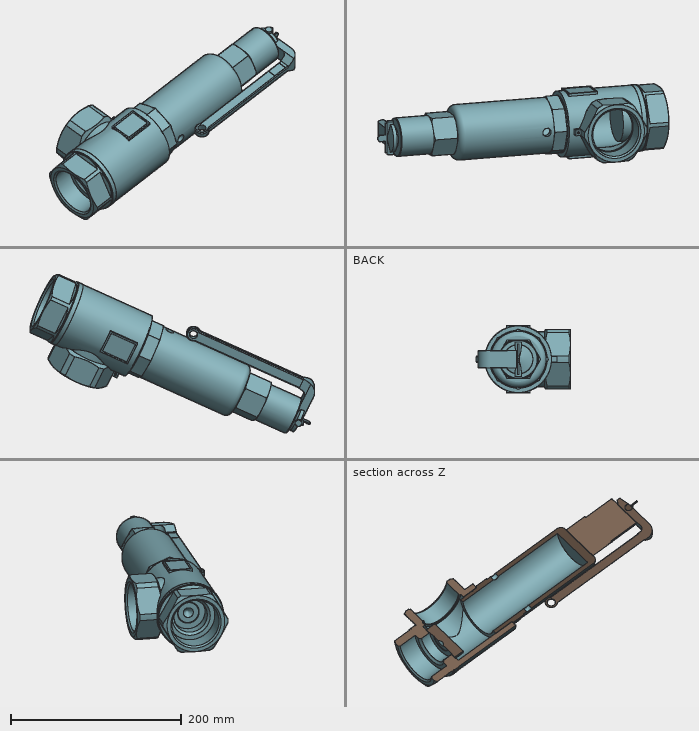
import cadquery as cq
import math


body_radius = 39.1
body_bottom = -39.5
body_top = 50.7
collar_radius = 39.4
collar_chamfer = 1.0
collar_bottom = -46.0

hex_flats = 70.0
hex_sides = 6
inlet_face = -73.5
inlet_corner_radius = 39.2
inlet_flat_top = -48.8
flat_runout_rise = 5.0
flat_runout_length = 2.6
end_chamfer_radius = 34.7
end_chamfer_length = 2.0

outlet_face = -61.5
outlet_back = -30.7
outlet_corner_radius = 38.4
outlet_hub_radius = 32.5
outlet_back_chamfer = 3.2

thread_radius = 28.3
thread_mouth_radius = 30.3
thread_mouth_depth = 2.0
inlet_thread_depth = 25.0
outlet_thread_depth = 23.5
seat_mouth_radius = 22.9
seat_radius = 20.0
seat_top = -33.0
outlet_land_radius = 27.5
outlet_land_length = 1.5
outlet_pocket_radius = 30.0

plate_half_width = 14.0
plate_height = 39.5
plate_bottom = 8.0
plate_top = 43.5
plate_rim = 2.0
plate_recess = 0.3

lug_tip = -45.6
lug_bottom = 36.0
lug_top = 44.8
lug_width = 6.8
lug_hole = 2.4
lug_hole_x = -42.3
lug_hole_y = 41.5

disc_radius = 26.0
disc_top = -20.0
disc_groove_radius = 12.4
disc_groove_width = 0.6
disc_groove_depth = 0.5
disc_hole_radius = 6.0

spigot_radius = 31.5
spigot_bottom = 25.0
neck_radius = 34.0
octagon_sides = 8
octagon_diameter = 70.6
octagon_bottom = 52.1
octagon_top = 67.3
sleeve_radius = 32.9
sleeve_shoulder = 175.6
sleeve_top = 183.4
sleeve_top_radius = 27.0
bonnet_bore_radius = 27.0
bonnet_bore_top = 172.0
vent_diameter = 10.0
vent_y = 76.3

cap_flats = 45.5
cap_corner_radius = 27.2
cap_hex_top = 212.5
cap_end_radius = 24.0
cap_hex_chamfer = 1.6
cap_radius = 22.8
cap_top = 252.8
cap_rim = 1.0

head_radius = 17.2
head_bottom_radius = 12.0
head_top_radius = 4.5
head_edge_bottom = 256.0
head_edge_top = 260.3
arm_top = 262.8
arm_half_width = 10.0
elbow_inner_radius = 5.5
elbow_outer_radius = 14.0
neck_start = 253.0
neck_end = 243.5
handle_left = 34.6
handle_right = 47.5
handle_half_thickness = 4.0
handle_bevel = 1.2
badge_bottom = 221.5
badge_top = 239.5
badge_height = 0.5
ring_y = 103.0
ring_radius = 8.2
ring_hole_radius = 4.7
lever_reach = 49.7

pin_radius = 4.0
pin_length = 40.0
pin_y = 259.2
tag_thickness = 1.6
tag_bar_length = 36.0
tag_bar_top = 265.4
tag_width = 7.6
tag_shoulder_y = 272.5
tag_tip_width = 2.0
tag_top = 274.6


def turned(points):
    """Solid turned about the Y axis from (radius, y) points."""
    return cq.Workplane("XY").polyline(points).close().revolve(360, (0, 0, 0), (0, 1, 0))


def turned_about_x(points):
    """Solid turned about the X axis from (x, radius) points."""
    return cq.Workplane("XY").polyline(points).close().revolve(360, (0, 0, 0), (1, 0, 0))


def prism_along_y(sides, corner_diameter, bottom, top):
    """Regular prism along Y with two corners on the X axis."""
    plane = cq.Workplane("XZ", origin=(0, bottom, 0))
    return plane.polygon(sides, corner_diameter).extrude(bottom - top)


def corner_diameter(flats):
    """Corner-to-corner size of a hexagon with the given size across flats."""
    return flats / math.cos(math.pi / hex_sides)


def block(x_range, y_range, z_range):
    """Box between the given limits."""
    sizes = [high - low for low, high in (x_range, y_range, z_range)]
    corner = (x_range[0], y_range[0], z_range[0])
    return cq.Workplane("XY").box(*sizes, centered=False).translate(corner)


def inlet_end():
    """Collar and turned inlet end with six milled flats that run out in a bevel below the collar."""
    end = turned([
        (0, inlet_face),
        (end_chamfer_radius, inlet_face),
        (inlet_corner_radius, inlet_face + end_chamfer_length),
        (inlet_corner_radius, collar_bottom),
        (collar_radius - collar_chamfer, collar_bottom),
        (collar_radius, collar_bottom + collar_chamfer),
        (collar_radius, body_bottom),
        (0, body_bottom),
    ])
    half_flats = hex_flats / 2
    outside = half_flats + flat_runout_rise
    flat_cutter = (
        cq.Workplane("YZ")
        .polyline([
            (inlet_face, half_flats),
            (inlet_flat_top, half_flats),
            (inlet_flat_top + flat_runout_length, outside),
            (inlet_face, outside),
        ])
        .close()
        .extrude(half_flats, both=True)
    )
    for side in range(hex_sides):
        end = end.cut(flat_cutter.rotate((0, 0, 0), (0, 1, 0), side * 360 / hex_sides))
    return end


def outlet_end():
    """Hexagonal outlet with turned corners, on a round hub."""
    turned_corners = turned_about_x([
        (outlet_face, 0),
        (outlet_face, end_chamfer_radius),
        (outlet_face + end_chamfer_length, outlet_corner_radius),
        (outlet_back - outlet_back_chamfer, outlet_corner_radius),
        (outlet_back, outlet_hub_radius),
        (outlet_back, 0),
    ])
    hexagon = (
        cq.Workplane("YZ", origin=(outlet_face, 0, 0))
        .polygon(hex_sides, corner_diameter(hex_flats))
        .extrude(outlet_back - outlet_face)
    )
    hub = cq.Workplane("YZ").circle(outlet_hub_radius).extrude(outlet_back)
    return hexagon.intersect(turned_corners).union(hub)


def name_plate():
    """Raised rectangular plate with a shallow recess on its +Z face."""
    plate = block((-plate_half_width, plate_half_width), (plate_bottom, plate_top), (0, plate_height))
    inner = plate_half_width - plate_rim
    recess = block(
        (-inner, inner),
        (plate_bottom + plate_rim, plate_top - plate_rim),
        (plate_height - plate_recess, plate_height),
    )
    return plate.cut(recess)


def seal_lug():
    """Small lug beside the outlet, with a seal wire hole along Z met by one along X."""
    lug = block((lug_tip, 0), (lug_bottom, lug_top), (-lug_width / 2, lug_width / 2))
    hole = (
        cq.Workplane("XY")
        .center(lug_hole_x, lug_hole_y)
        .circle(lug_hole / 2)
        .extrude(lug_width, both=True)
    )
    cross_hole = (
        cq.Workplane("YZ", origin=(lug_tip, lug_hole_y, 0))
        .circle(lug_hole / 2)
        .extrude(lug_hole_x - lug_tip)
    )
    return lug.cut(hole).cut(cross_hole)


def body_passage():
    """Inlet thread, seat, main chamber, outlet thread and outlet pocket as one cutting shape."""
    inlet_thread_end = inlet_face + inlet_thread_depth
    main = turned([
        (0, inlet_face),
        (thread_mouth_radius, inlet_face),
        (thread_radius, inlet_face + thread_mouth_depth),
        (thread_radius, inlet_thread_end),
        (seat_mouth_radius, inlet_thread_end),
        (seat_radius, inlet_thread_end + seat_mouth_radius - seat_radius),
        (seat_radius, seat_top),
        (spigot_radius, seat_top),
        (spigot_radius, body_top),
        (0, body_top),
    ])
    outlet_thread_end = outlet_face + outlet_thread_depth
    pocket_start = outlet_thread_end + outlet_land_length
    side = turned_about_x([
        (outlet_face, 0),
        (outlet_face, thread_mouth_radius),
        (outlet_face + thread_mouth_depth, thread_radius),
        (outlet_thread_end, thread_radius),
        (outlet_thread_end, outlet_land_radius),
        (pocket_start, outlet_land_radius),
        (pocket_start, outlet_pocket_radius),
        (0, outlet_pocket_radius),
        (0, 0),
    ])
    return main.union(side)


def make_body():
    barrel = turned([(0, body_bottom), (body_radius, body_bottom), (body_radius, body_top), (0, body_top)])
    plate = name_plate()
    body = barrel.union(inlet_end()).union(outlet_end()).union(seal_lug())
    body = body.union(plate).union(plate.mirror("XY"))
    return body.cut(body_passage())


def make_disc():
    groove_outer = disc_groove_radius + disc_groove_width
    groove_roof = seat_top + disc_groove_depth
    return turned([
        (0, seat_top + disc_hole_radius),
        (disc_hole_radius, seat_top),
        (disc_groove_radius, seat_top),
        (disc_groove_radius, groove_roof),
        (groove_outer, groove_roof),
        (groove_outer, seat_top),
        (disc_radius, seat_top),
        (disc_radius, disc_top),
        (0, disc_top),
    ])


def make_bonnet():
    """Hollow spring housing with a spigot in the body, an octagon and a vent across it."""
    shoulder_mid = math.sqrt(0.5)
    shoulder_width = sleeve_radius - sleeve_top_radius
    shoulder_height = sleeve_top - sleeve_shoulder
    shoulder_point = (
        sleeve_top_radius + shoulder_width * shoulder_mid,
        sleeve_shoulder + shoulder_height * shoulder_mid,
    )
    housing = (
        cq.Workplane("XY")
        .moveTo(0, spigot_bottom)
        .lineTo(spigot_radius, spigot_bottom)
        .lineTo(spigot_radius, body_top)
        .lineTo(neck_radius, body_top)
        .lineTo(neck_radius, octagon_bottom)
        .lineTo(bonnet_bore_radius, octagon_bottom)
        .lineTo(bonnet_bore_radius, octagon_top)
        .lineTo(sleeve_radius, octagon_top)
        .lineTo(sleeve_radius, sleeve_shoulder)
        .threePointArc(shoulder_point, (sleeve_top_radius, sleeve_top))
        .lineTo(0, sleeve_top)
        .close()
        .revolve(360, (0, 0, 0), (0, 1, 0))
    )
    octagon = prism_along_y(octagon_sides, octagon_diameter, octagon_bottom, octagon_top)
    bore = turned([
        (0, spigot_bottom),
        (bonnet_bore_radius, spigot_bottom),
        (bonnet_bore_radius, bonnet_bore_top),
        (0, bonnet_bore_top),
    ])
    vent = (
        cq.Workplane("YZ")
        .center(vent_y, 0)
        .circle(vent_diameter / 2)
        .extrude(2 * sleeve_radius, both=True)
    )
    return housing.union(octagon).cut(bore).cut(vent)


def make_cap():
    """Hexagon with bevelled ends below a plain cylinder."""
    hexagon = prism_along_y(hex_sides, corner_diameter(cap_flats), sleeve_top, cap_hex_top)
    bevelled_ends = turned([
        (0, sleeve_top),
        (cap_end_radius, sleeve_top),
        (cap_corner_radius, sleeve_top + cap_hex_chamfer),
        (cap_corner_radius, cap_hex_top - cap_hex_chamfer),
        (cap_end_radius, cap_hex_top),
        (0, cap_hex_top),
    ])
    cylinder = turned([
        (0, cap_hex_top),
        (cap_radius, cap_hex_top),
        (cap_radius, cap_top - cap_rim),
        (cap_radius - cap_rim / 2, cap_top),
        (0, cap_top),
    ])
    return hexagon.intersect(bevelled_ends).union(cylinder)


def make_lever_pin():
    return cq.Workplane("XY").center(0, pin_y).circle(pin_radius).extrude(pin_length / 2, both=True)


def lever_head():
    return turned([
        (0, cap_top),
        (head_bottom_radius, cap_top),
        (head_radius, head_edge_bottom),
        (head_radius, head_edge_top),
        (head_top_radius, arm_top),
        (0, arm_top),
    ])


def lever_elbow():
    """Arm and rounded elbow, narrowing in Z towards the handle."""
    corner = math.sqrt(0.5)
    outer_centre = (handle_right - elbow_outer_radius, arm_top - elbow_outer_radius)
    inner_centre = (handle_left - elbow_inner_radius, cap_top - elbow_inner_radius)
    outer_middle = [value + elbow_outer_radius * corner for value in outer_centre]
    inner_middle = [value + elbow_inner_radius * corner for value in inner_centre]
    elbow = (
        cq.Workplane("XY")
        .moveTo(0, cap_top)
        .lineTo(inner_centre[0], cap_top)
        .threePointArc(inner_middle, (handle_left, inner_centre[1]))
        .lineTo(handle_left, neck_end)
        .lineTo(handle_right, neck_end)
        .lineTo(handle_right, outer_centre[1])
        .threePointArc(outer_middle, (outer_centre[0], arm_top))
        .lineTo(0, arm_top)
        .close()
        .extrude(arm_half_width, both=True)
    )
    narrowing = (
        cq.Workplane("YZ")
        .polyline([
            (neck_end, -handle_half_thickness),
            (neck_start, -arm_half_width),
            (arm_top, -arm_half_width),
            (arm_top, arm_half_width),
            (neck_start, arm_half_width),
            (neck_end, handle_half_thickness),
        ])
        .close()
        .extrude(handle_right)
    )
    return elbow.intersect(narrowing)


def lever_handle():
    """Bevelled bar with a badge and an eye at its free end."""
    thickness = (-handle_half_thickness, handle_half_thickness)
    bar = block((handle_left, handle_right), (ring_y, neck_end), thickness).edges("|Y").chamfer(handle_bevel)
    badge_top_z = handle_half_thickness + badge_height
    badge = block(
        (handle_left + handle_bevel, handle_right - handle_bevel),
        (badge_bottom, badge_top),
        (0, badge_top_z),
    )
    eye_plane = cq.Workplane("XY").center(lever_reach - ring_radius, ring_y)
    eye = eye_plane.circle(ring_radius).extrude(handle_half_thickness, both=True)
    eye = eye.faces("<Z or >Z").edges().chamfer(handle_bevel)
    eye_hole = eye_plane.circle(ring_hole_radius).extrude(handle_half_thickness, both=True)
    return bar.union(badge).union(eye).cut(eye_hole)


def make_lever():
    lever = lever_head().union(lever_elbow()).union(lever_handle())
    return lever.cut(make_lever_pin())


def make_seal_tag():
    """Thin T-shaped tag with a pointed tip, standing astride the lever pin."""
    bar = tag_bar_length / 2
    tab = tag_width / 2
    tip = tag_tip_width / 2
    tag = (
        cq.Workplane("YZ")
        .polyline([
            (arm_top, -bar),
            (tag_bar_top, -bar),
            (tag_bar_top, -tab),
            (tag_shoulder_y, -tab),
            (tag_top, -tip),
            (tag_top, tip),
            (tag_shoulder_y, tab),
            (tag_bar_top, tab),
            (tag_bar_top, bar),
            (arm_top, bar),
        ])
        .close()
        .extrude(tag_thickness / 2, both=True)
    )
    return tag.cut(make_lever_pin())


body = make_body()
disc = make_disc()
bonnet = make_bonnet()
cap = make_cap()
lever_pin = make_lever_pin()
lever = make_lever()
seal_tag = make_seal_tag()

result = cq.Compound.makeCompound([
    body.val(),
    disc.val(),
    bonnet.val(),
    cap.val(),
    lever.val(),
    lever_pin.val(),
    seal_tag.val(),
])